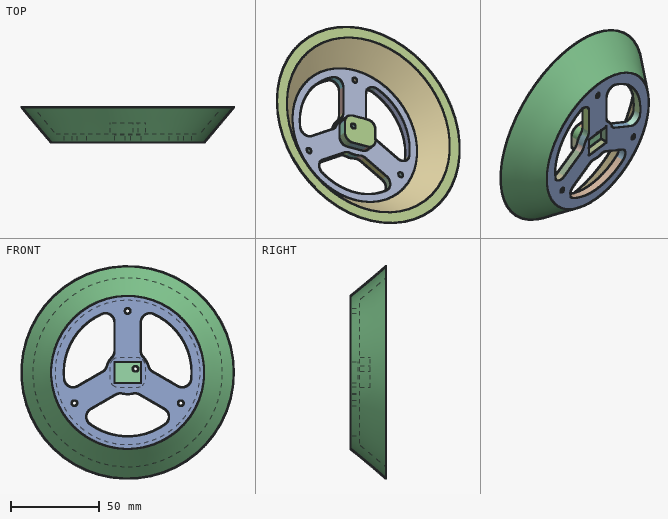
import cadquery as cq
import math

rim_radius = 60.0
plate_radius = 43.2
depth = 20.0
wall = 5.0
slope = math.atan2(rim_radius - plate_radius, depth)
radial_wall = wall / math.cos(slope)
plate_back_radius = plate_radius + wall * math.tan(slope)

spoke_count = 3
spoke_angle = 360 / spoke_count
spoke_width = 15.0
window_radius = 36.0
hub_radius = 12.4
window_fillet = 5.0

hole_diameter = 3.0
screw_circle_radius = 34.7
pocket_width = 15.0
pocket_height = 12.0
pocket_depth = 4.3
hub_hole_x = 4.5
hub_hole_z = 2.0
boss_wall = 2.5
boss_width = pocket_width + 2 * boss_wall
boss_height = pocket_height + 2 * boss_wall
boss_back = 11.0
boss_fillet = 5.0


def plane_at(y):
    """Sketch plane with axes +X and +Z; positive extrusion goes toward +Y."""
    return cq.Workplane("XZ", origin=(0, y, 0))


def extrude_back(sketch, length):
    return sketch.extrude(-length)


def make_dish():
    """Revolve the wall section about the Y axis."""
    return (
        cq.Workplane("XY")
        .moveTo(0, 0)
        .lineTo(plate_radius, 0)
        .lineTo(rim_radius, depth)
        .lineTo(rim_radius - radial_wall, depth)
        .lineTo(plate_back_radius - radial_wall, wall)
        .lineTo(0, wall)
        .close()
        .revolve(360, (0, 0, 0), (0, 1, 0))
    )


def make_windows():
    """Ring between hub and rim, split by the spokes, with rounded corners."""
    windows = extrude_back(plane_at(0).circle(window_radius).circle(hub_radius), wall)
    for i in range(spoke_count):
        spoke = extrude_back(
            plane_at(0).center(0, window_radius / 2).rect(spoke_width, window_radius), wall
        )
        windows = windows.cut(spoke.rotate((0, 0, 0), (0, 1, 0), i * spoke_angle))
    return windows.edges("|Y").fillet(window_fillet)


def make_boss():
    boss = extrude_back(plane_at(0).rect(boss_width, boss_height), boss_back)
    return boss.edges("|Y").fillet(boss_fillet)


def make_pocket():
    return extrude_back(plane_at(0).rect(pocket_width, pocket_height), pocket_depth)


def make_holes():
    """One screw hole on each spoke and an off-centre hole through the hub."""
    points = [(hub_hole_x, hub_hole_z)]
    for i in range(spoke_count):
        angle = math.radians(90 + i * spoke_angle)
        points.append((screw_circle_radius * math.cos(angle), screw_circle_radius * math.sin(angle)))
    return extrude_back(plane_at(0).pushPoints(points).circle(hole_diameter / 2), depth)


result = make_dish().cut(make_windows()).union(make_boss()).cut(make_pocket()).cut(make_holes())